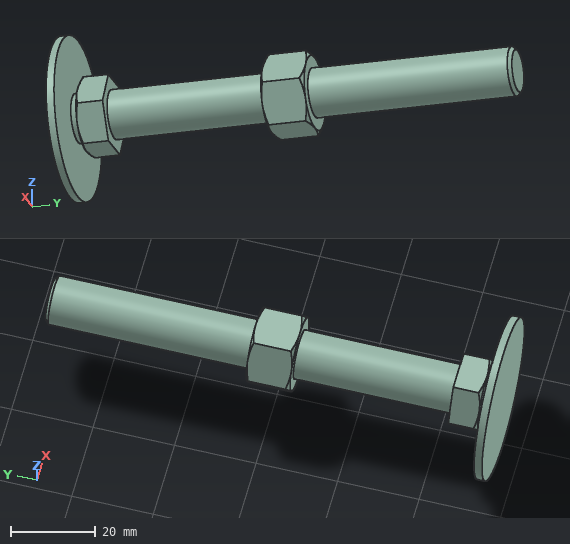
import cadquery as cq
import math

total_length = 111.0

foot_diameter = 40.0
foot_thickness = 2.0
neck_height = 2.0
neck_base_radius = 6.0
neck_top_radius = 4.0

rod_diameter = 12.0
rod_chamfer = 0.9
collar_across_flats = 17.0
collar_height = 7.0

nut_across_flats = 18.0
nut_height = 10.8
nut_start = 50.0

bevel_angle = math.radians(30)

foot_bottom = -total_length / 2
neck_bottom = foot_bottom + foot_thickness
collar_bottom = neck_bottom + neck_height
rod_bottom = collar_bottom + collar_height
rod_top = foot_bottom + total_length
nut_bottom = foot_bottom + nut_start


def plane_at(y):
    """Plane square to the Y axis, extruding toward +Y."""
    return cq.Workplane(cq.Plane(origin=(0, y, 0), xDir=(1, 0, 0), normal=(0, 1, 0)))


def revolve_about_y(points):
    """Solid of revolution from (radius, y) profile points."""
    return cq.Workplane("XY").polyline(points).close().revolve(360, (0, 0), (0, 1))


def make_hexagon(across_flats, bottom, height, bevel_top):
    """Hexagonal prism with two corners along X, bevelled below and optionally above."""
    flat_radius = across_flats / 2
    corner_radius = flat_radius / math.cos(math.pi / 6)
    bevel_height = (corner_radius - flat_radius) * math.tan(bevel_angle)
    top = bottom + height
    prism = plane_at(bottom).polygon(6, 2 * corner_radius).extrude(height)
    profile = [(0, bottom), (flat_radius, bottom), (corner_radius, bottom + bevel_height)]
    if bevel_top:
        profile += [(corner_radius, top - bevel_height), (flat_radius, top)]
    else:
        profile += [(corner_radius, top)]
    profile.append((0, top))
    return prism.intersect(revolve_about_y(profile))


def make_foot():
    return revolve_about_y([
        (0, foot_bottom),
        (foot_diameter / 2, foot_bottom),
        (foot_diameter / 2, neck_bottom),
        (neck_base_radius, neck_bottom),
        (neck_top_radius, collar_bottom),
        (0, collar_bottom),
    ])


def make_spindle():
    collar = make_hexagon(collar_across_flats, collar_bottom, collar_height, bevel_top=False)
    rod = plane_at(rod_bottom).circle(rod_diameter / 2).extrude(rod_top - rod_bottom)
    rod = rod.faces(">Y").chamfer(rod_chamfer)
    return collar.union(rod)


def make_nut():
    blank = make_hexagon(nut_across_flats, nut_bottom, nut_height, bevel_top=True)
    bore = plane_at(nut_bottom).circle(rod_diameter / 2).extrude(nut_height)
    return blank.cut(bore)


foot = make_foot()
spindle = make_spindle()
nut = make_nut()

result = cq.Compound.makeCompound([foot.val(), spindle.val(), nut.val()])